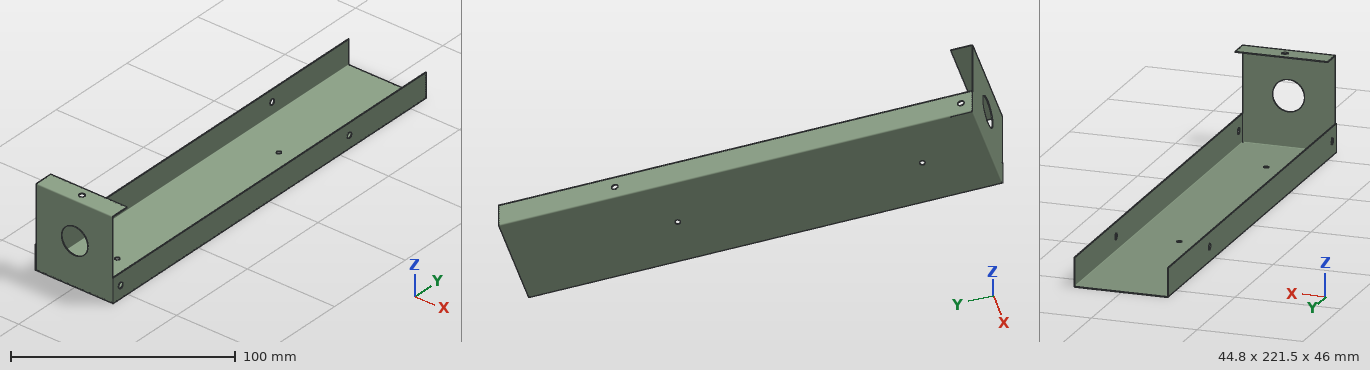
import cadquery as cq

width = 44.8
length = 221.5
height = 46.0

sheet = 0.5
inner_bend = 0.27
outer_bend = inner_bend + sheet

wall_height = 14.0
lip_depth = 10.5
plate_width = width - 2 * sheet

small_diameter = 2.5
screw_diameter = 3.0
opening_diameter = 15.0
opening_height = 24.5
opening_offset = 0.2
floor_hole_places = (-80.2, 34.1)
wall_hole_places = (-105.2, 56.5)
wall_hole_height = 7.3
lip_hole_place = -105.2

front = -length / 2


def make_channel():
    """Floor with two side walls, bent up along the long edges."""
    outer = (
        cq.Workplane("XY")
        .box(width, length, wall_height, centered=(True, True, False))
        .edges("|Y and <Z")
        .fillet(outer_bend)
    )
    inner = (
        cq.Workplane("XY", origin=(0, 0, sheet))
        .box(plate_width, length, wall_height, centered=(True, True, False))
        .edges("|Y and <Z")
        .fillet(inner_bend)
    )
    envelope = (
        cq.Workplane("XY")
        .box(width, length, height, centered=(True, True, False))
        .edges("<Y and <Z")
        .fillet(outer_bend)
    )
    return outer.cut(inner).intersect(envelope)


def make_end_plate():
    """Upright front plate, bent from the floor and back into a top lip."""
    outer = (
        cq.Workplane("XY", origin=(0, front, 0))
        .box(plate_width, lip_depth, height, centered=(True, False, False))
        .edges("|X and <Y")
        .fillet(outer_bend)
    )
    inner = (
        cq.Workplane("XY", origin=(0, front + sheet, sheet))
        .box(plate_width, lip_depth, height - 2 * sheet, centered=(True, False, False))
        .edges("|X and <Y")
        .fillet(inner_bend)
    )
    return outer.cut(inner)


result = make_channel().union(make_end_plate())

floor_points = [(0, y) for y in floor_hole_places]
floor_holes = (
    cq.Workplane("XY").pushPoints(floor_points).circle(small_diameter / 2).extrude(wall_height)
)
result = result.cut(floor_holes)

wall_points = [(y, wall_hole_height) for y in wall_hole_places]
wall_holes = (
    cq.Workplane("YZ").pushPoints(wall_points).circle(screw_diameter / 2).extrude(width, both=True)
)
result = result.cut(wall_holes)

lip_hole = (
    cq.Workplane("XY", origin=(0, lip_hole_place, height - 2 * sheet))
    .circle(screw_diameter / 2)
    .extrude(2 * sheet)
)
result = result.cut(lip_hole)

opening = (
    cq.Workplane("XZ", origin=(opening_offset, front + lip_depth, opening_height))
    .circle(opening_diameter / 2)
    .extrude(lip_depth)
)
result = result.cut(opening)